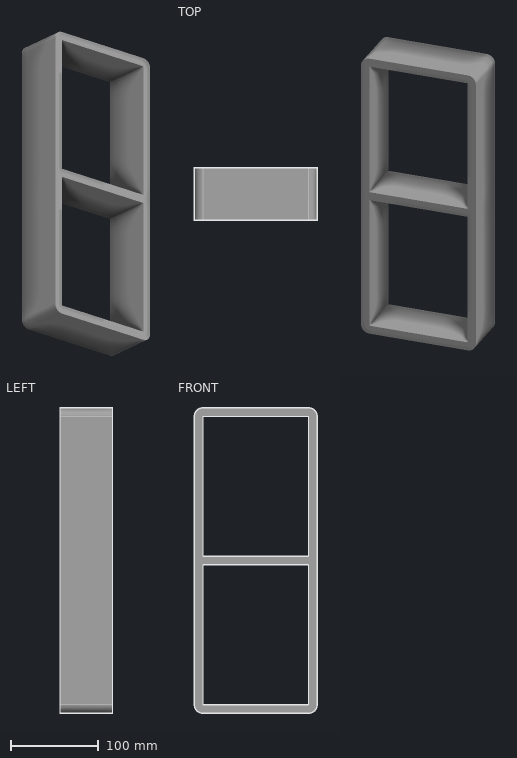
import cadquery as cq

width = 140.5
depth = 60.0
height = 349.0

wall = 10.0
corner_radius = wall

opening_width = width - 2 * wall
opening_height = (height - 3 * wall) / 2
opening_spacing = opening_height + wall

frame = cq.Workplane("XZ").rect(width, height).extrude(depth / 2, both=True)
frame = frame.edges("|Y").fillet(corner_radius)

openings = (
    cq.Workplane("XZ")
    .rarray(3.5, opening_spacing, 1, 2)
    .rect(opening_width, opening_height)
    .extrude(depth, both=True)
)

result = frame.cut(openings)